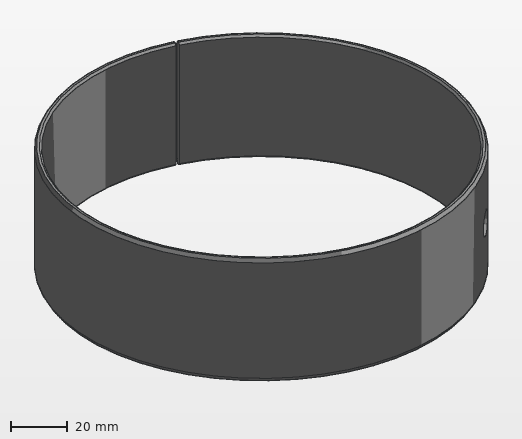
import cadquery as cq
import math

outer_diameter = 160.0
wall = 2.5
height = 50.0
slit_width = 1.3

outer_bevel_height = 1.5
outer_bevel_depth = 0.8
inner_bevel = 0.8

hole_diameter = 10.0
hole_angle = 59.0

outer_radius = outer_diameter / 2
inner_radius = outer_radius - wall
half_height = height / 2


def ring():
    """Revolve the bevelled wall section about Z."""
    section = [
        (inner_radius, half_height - inner_bevel),
        (inner_radius + inner_bevel, half_height),
        (outer_radius - outer_bevel_depth, half_height),
        (outer_radius, half_height - outer_bevel_height),
        (outer_radius, outer_bevel_height - half_height),
        (outer_radius - outer_bevel_depth, -half_height),
        (inner_radius + inner_bevel, -half_height),
        (inner_radius, inner_bevel - half_height),
    ]
    return cq.Workplane("XZ").polyline(section).close().revolve(360, (0, 0), (0, 1))


def slit():
    """Narrow gap that splits the ring on its -X side, with one face on the XZ plane."""
    gap = cq.Workplane("XY").box(2 * wall, slit_width, height)
    return gap.translate((wall / 2 - outer_radius, slit_width / 2, 0))


def radial_hole():
    """Cylinder through the wall at mid-height."""
    angle = math.radians(hole_angle)
    outward = cq.Vector(math.cos(angle), math.sin(angle), 0)
    start = outward * (inner_radius - wall)
    return cq.Workplane(cq.Solid.makeCylinder(hole_diameter / 2, 3 * wall, start, outward))


result = ring().cut(slit()).cut(radial_hole())